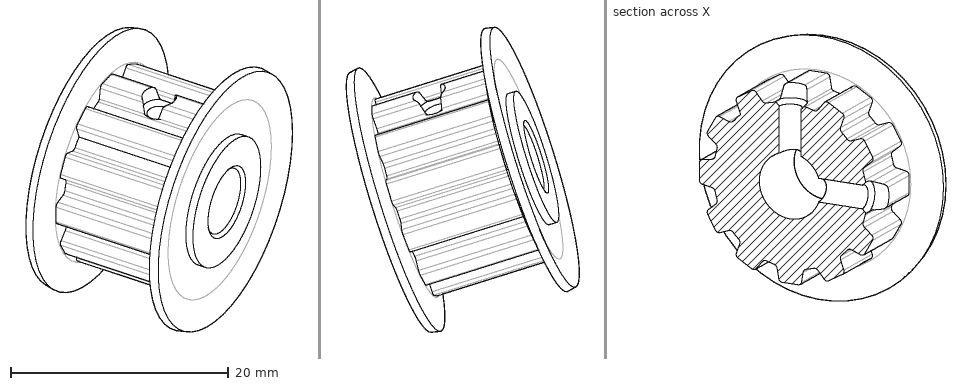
import cadquery as cq
import math


hub_half_length = 7.15
hub_radius = 6.32
bore_radius = 3.18
bore_chamfer = 0.33

flange_radius = 12.7
bend_radius = 9.63
flange_inner_x = 5.54
flange_thickness = 0.86
flange_lean = 11.3

tooth_count = 12
tip_radius = 9.45
groove_corner_height = 7.98
groove_floor_width = 1.32
groove_half_angle = 25.0
root_fillet = 0.4
tight_root_fillet = 0.25
tip_fillet = 0.38
groove_overshoot = 0.5
angle_tolerance = 0.5

screw_radius = 1.12
screw_recess_radius = 1.57
screw_recess_floor = 7.98
screw_cone_depth = screw_recess_radius - screw_radius


def lengthwise_edges(drum, is_wanted):
    """Edges along X for which is_wanted(radius, angle from +Z towards -Y) holds."""
    wanted = []
    for edge in drum.edges("|X").vals():
        centre = edge.Center()
        radius = math.hypot(centre.y, centre.z)
        angle = math.degrees(math.atan2(-centre.y, centre.z))
        if is_wanted(radius, angle):
            wanted.append(edge)
    return drum.newObject(wanted)


def toothed_core():
    """Toothed drum with flat tooth lands, one of them facing +Z."""
    pitch_angle = 360 / tooth_count
    length = 2 * flange_inner_x
    drum = (
        cq.Workplane("YZ")
        .polygon(tooth_count, 2 * tip_radius, circumscribed=True)
        .extrude(flange_inner_x, both=True)
    )

    slope = math.tan(math.radians(groove_half_angle))
    groove_top = tip_radius + groove_overshoot
    floor_half = groove_floor_width / 2
    top_half = floor_half + (groove_top - groove_corner_height) * slope
    floor_corner_radius = math.hypot(floor_half, groove_corner_height)
    groove = (
        cq.Workplane("YZ", origin=(-flange_inner_x, 0, 0))
        .moveTo(-top_half, groove_top)
        .lineTo(-floor_half, groove_corner_height)
        .threePointArc((0, floor_corner_radius), (floor_half, groove_corner_height))
        .lineTo(top_half, groove_top)
        .close()
        .extrude(length)
    )
    for index in range(tooth_count):
        angle = (index + 0.5) * pitch_angle
        drum = drum.cut(groove.rotate((0, 0, 0), (1, 0, 0), angle))

    floor_half_angle = math.degrees(math.atan2(floor_half, groove_corner_height))
    tight_angle = pitch_angle / 2 - floor_half_angle
    sharp_angle = 1.5 * pitch_angle - floor_half_angle

    def is_tight_root(radius, angle):
        return radius < tip_radius and abs(abs(angle) - tight_angle) < angle_tolerance

    def is_regular_root(radius, angle):
        is_sharp = abs(angle - sharp_angle) < angle_tolerance
        return radius < tip_radius and not is_sharp and not is_tight_root(radius, angle)

    def is_tip(radius, angle):
        return radius > tip_radius

    drum = lengthwise_edges(drum, is_regular_root).fillet(root_fillet)
    drum = lengthwise_edges(drum, is_tight_root).fillet(tight_root_fillet)
    return lengthwise_edges(drum, is_tip).fillet(tip_fillet)


def flange(side):
    """Dished disc of even thickness on the given side (+1 or -1)."""
    lean = math.radians(flange_lean)
    inner_rim_x = flange_inner_x + (flange_radius - bend_radius) * math.tan(lean)
    outer_rim_x = inner_rim_x + flange_thickness * math.cos(lean)
    outer_rim_radius = flange_radius - flange_thickness * math.sin(lean)
    outer_x = flange_inner_x + flange_thickness
    outline = [
        (flange_inner_x, 0),
        (flange_inner_x, bend_radius),
        (inner_rim_x, flange_radius),
        (outer_rim_x, outer_rim_radius),
        (outer_x, bend_radius),
        (outer_x, 0),
    ]
    points = [(side * x, radius) for x, radius in outline]
    return cq.Workplane("XY").polyline(points).close().revolve(360, (0, 0, 0), (1, 0, 0))


def bore():
    """Through bore with a chamfer at both ends."""
    mouth_radius = bore_radius + bore_chamfer
    chamfer_start = hub_half_length - bore_chamfer
    outline = [
        (-hub_half_length, 0),
        (-hub_half_length, mouth_radius),
        (-chamfer_start, bore_radius),
        (chamfer_start, bore_radius),
        (hub_half_length, mouth_radius),
        (hub_half_length, 0),
    ]
    return cq.Workplane("XY").polyline(outline).close().revolve(360, (0, 0, 0), (1, 0, 0))


def screw_hole():
    """Radial hole along +Z into the bore, with a recess ending in a cone."""
    cone_bottom = screw_recess_floor - screw_cone_depth
    outline = [
        (0, 0),
        (screw_radius, 0),
        (screw_radius, cone_bottom),
        (screw_recess_radius, screw_recess_floor),
        (screw_recess_radius, flange_radius),
        (0, flange_radius),
    ]
    return cq.Workplane("XZ").polyline(outline).close().revolve(360, (0, 0, 0), (0, 1, 0))


hub = cq.Workplane("YZ").circle(hub_radius).extrude(hub_half_length, both=True)
body = toothed_core().union(hub)
for side in (-1, 1):
    body = body.union(flange(side))
screw_hole_up = screw_hole()
screw_hole_back = screw_hole_up.rotate((0, 0, 0), (1, 0, 0), -90)
result = body.cut(bore()).cut(screw_hole_up).cut(screw_hole_back)